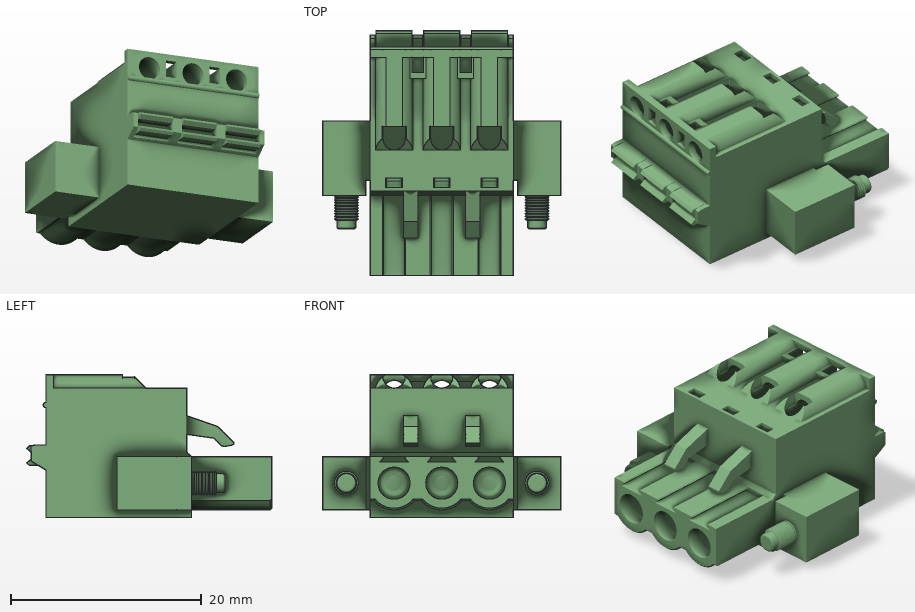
import cadquery as cq


pitch = 5.0
pole_count = 3
pole_positions = [(i - (pole_count - 1) / 2) * pitch for i in range(pole_count)]
gap_positions = [(i - (pole_count - 2) / 2) * pitch for i in range(pole_count - 1)]

body_width = pole_count * pitch
height = 15.0
deck_z = 13.6
rear_y = 15.3
rear_wall_y = 14.5
upper_front_y = 0.5
step_chamfer = 0.45
overlap = 0.5

axis_z = 3.62
plug_front_y = -8.4
plug_top_z = 6.4
plug_bottom_z = 1.78
shell_radius = 2.8
plug_edge_chamfer = 0.18
socket_radius = 1.68
cone_end_radius = 0.8
cone_depth = 0.25
socket_depth = 1.7
groove_top_half_width = 1.22
groove_neck_half_width = 1.1
groove_bottom_half_width = 1.5
groove_lip = 0.12
groove_depth = 0.57
overall_width = 25.0
flange_depth = 7.85
flange_bottom_z = axis_z - shell_radius
relief_width = 0.45
relief_depth = 1.6

screw_positions = [-2 * pitch, 2 * pitch]
thread_radius = 1.25
root_radius = 1.07
thread_pitch = 0.29
thread_count = 9
tip_radius = 1.0
tip_fillet = 0.25
screw_length = 3.5

ridge_radius = 2.0
ridge_axis_z = 13.2
ridge_front_y = 4.8
bore_radius = 1.2
entry_rear_y = 7.25
entry_radius = 1.15
entry_floor_z = 9.0
entry_slot_half_width = 1.28
entry_slot_floor_z = 13.4
entry_slot_front_y = 6.0

bridge_width = 2.0
bridge_front_y = 12.27
bridge_top_z = 14.3
bridge_pocket_width = 1.2
bridge_pocket_front_y = 12.9
bridge_pocket_floor_z = 12.5

window_half_width = 0.88
window_front_y = 0.83
window_rear_y = 1.87
window_depth = 1.0
gable_half_width = 0.78
gable_peak_y = 1.52
gable_peak_depth = 0.55
gable_edge_depth = 0.8

latch_positions = [-3.25, 3.25]
latch_width = 1.5
latch_root_top_z = 10.7
latch_root_bottom_z = 8.73
latch_top_bend = (-2.74, 9.57)
latch_bottom_bend = (-2.35, 8.33)
latch_hook_front = [(-4.46, 7.86), (-4.46, 7.73), (-4.15, 7.58)]
latch_hook_bottom = [(-3.43, 7.45), (-3.07, 7.57)]

ledge_rear_y = 16.85
ledge_top_z = 7.63
ledge_chamfer = 0.35
ledge_chamfer_drop = 0.14
ledge_lower_z = 5.95
ledge_foot_z = 5.0
tooth_half_width = 1.9
tooth_tip_y = 17.3
tooth_gap_width = 0.08
tooth_root_y = 15.65
upper_tooth_top_z = 7.55
upper_tooth_tip_z = 7.26
upper_tooth_bottom_z = 6.88
lower_tooth_top_z = 6.13
lower_tooth_tip_z = 5.75
lower_tooth_bottom_z = 5.49
tooth_bevel = 0.27
bead_radius = 0.28
bead_axis_z = 11.82


def box(x_range, y_range, z_range):
    """Axis-aligned block between the given limits."""
    (x0, x1), (y0, y1), (z0, z1) = x_range, y_range, z_range
    return cq.Workplane("XY").box(x1 - x0, y1 - y0, z1 - z0, centered=False).translate((x0, y0, z0))


def side_prism(points, half_width, x=0):
    """YZ outline extruded symmetrically about the plane at x."""
    return cq.Workplane("YZ").polyline(points).close().extrude(half_width, both=True).translate((x, 0, 0))


def cylinder_y(x, z, radius, y0, y1):
    """Cylinder along Y."""
    return cq.Workplane("XZ", origin=(x, y1, z)).circle(radius).extrude(y1 - y0)


def housing():
    """Main block: lower front step, deck and upright rear wall."""
    outline = [
        (0, 0),
        (rear_y, 0),
        (rear_y, height),
        (rear_wall_y, height),
        (rear_wall_y, deck_z),
        (upper_front_y, deck_z),
        (upper_front_y, plug_top_z + step_chamfer),
        (0, plug_top_z),
    ]
    return side_prism(outline, body_width / 2)


def plug():
    """Flat-topped plug with a round shell under each pole, its lower front edge chamfered."""
    outline = [
        (plug_front_y, plug_top_z),
        (overlap, plug_top_z),
        (overlap, plug_bottom_z),
        (plug_front_y + plug_edge_chamfer, plug_bottom_z),
        (plug_front_y, plug_bottom_z + plug_edge_chamfer),
    ]
    body = side_prism(outline, body_width / 2)
    for x in pole_positions:
        shell = cylinder_y(x, axis_z, shell_radius, plug_front_y, overlap)
        shell = shell.faces("<Y").chamfer(plug_edge_chamfer)
        lower_half = box(
            (-body_width / 2, body_width / 2), (plug_front_y, overlap), (0, axis_z)
        )
        body = body.union(shell.intersect(lower_half))
    return body


def plug_socket(x):
    """Round contact socket ending in a cone that narrows to a flat bottom."""
    cone_start_y = plug_front_y + socket_depth
    bottom_y = cone_start_y + cone_depth
    profile = [
        (plug_front_y, 0),
        (plug_front_y, -socket_radius),
        (cone_start_y, -socket_radius),
        (bottom_y, -cone_end_radius),
        (bottom_y, 0),
    ]
    socket = cq.Workplane("YZ").polyline(profile).close().revolve(360, (0, 0, 0), (1, 0, 0))
    return socket.translate((x, 0, axis_z))


def dovetail_groove(x):
    """Undercut groove along the plug top with a chamfered mouth."""
    bottom_z = plug_top_z - groove_depth
    outline = [
        (x - groove_top_half_width, plug_top_z),
        (x + groove_top_half_width, plug_top_z),
        (x + groove_neck_half_width, plug_top_z - groove_lip),
        (x + groove_bottom_half_width, bottom_z),
        (x - groove_bottom_half_width, bottom_z),
        (x - groove_neck_half_width, plug_top_z - groove_lip),
    ]
    return cq.Workplane("XZ").polyline(outline).close().extrude(-plug_front_y)


def flanges():
    """Side blocks for the screws, relieved next to the plug."""
    half_body = body_width / 2
    relief_x = half_body + relief_width
    block = box(
        (half_body - overlap, overall_width / 2), (0, flange_depth), (flange_bottom_z, plug_top_z)
    )
    relief = box((half_body, relief_x), (0, relief_depth), (flange_bottom_z, plug_top_z))
    right = block.cut(relief)
    return right.union(right.mirror("YZ"))


def screw(x):
    """Flange screw with ring-shaped thread crests and a rounded plain tip."""
    points = [(0, overlap), (root_radius, overlap), (root_radius, 0)]
    for i in range(thread_count):
        crest_y = -(i + 0.5) * thread_pitch
        points.append((thread_radius, crest_y))
        points.append((root_radius, crest_y - thread_pitch / 2))
    points += [(tip_radius, -thread_count * thread_pitch), (tip_radius, -screw_length), (0, -screw_length)]
    body = cq.Workplane("XY").polyline(points).close().revolve(360, (0, 0, 0), (0, 1, 0))
    return body.faces("<Y").edges().fillet(tip_fillet).translate((x, 0, axis_z))


def ridge(x):
    """Round-backed ridge with a flat top and a sloping front end."""
    rise = height - deck_z
    rear = rear_wall_y + overlap
    envelope = [
        (rear, deck_z - overlap),
        (ridge_front_y - overlap, deck_z - overlap),
        (ridge_front_y + rise, height),
        (rear, height),
    ]
    round_bar = cylinder_y(x, ridge_axis_z, ridge_radius, 0, rear)
    return round_bar.intersect(side_prism(envelope, ridge_radius, x))


def wire_entry(x):
    """Arched channel under the ridge, its rear bore and the upright opening at its front end."""
    center_y = ridge_front_y + entry_radius
    bore = cylinder_y(x, ridge_axis_z, bore_radius, center_y, rear_y)
    channel = box(
        (x - bore_radius, x + bore_radius), (center_y, rear_wall_y), (entry_floor_z, ridge_axis_z)
    )
    well = (
        cq.Workplane("XY", origin=(x, 0, entry_floor_z))
        .moveTo(-entry_radius, entry_rear_y)
        .lineTo(-entry_radius, center_y)
        .threePointArc((0, ridge_front_y), (entry_radius, center_y))
        .lineTo(entry_radius, entry_rear_y)
        .close()
        .extrude(height - entry_floor_z)
    )
    slot = box(
        (x - entry_slot_half_width, x + entry_slot_half_width),
        (entry_slot_front_y, entry_rear_y),
        (entry_slot_floor_z, height),
    )
    return bore.union(channel).union(well).union(slot)


def bridge(x):
    """Block joining two neighbouring ridges in front of the rear wall."""
    return box(
        (x - bridge_width / 2, x + bridge_width / 2),
        (bridge_front_y, rear_wall_y + overlap),
        (deck_z - overlap, bridge_top_z),
    )


def bridge_pocket(x):
    """Pocket sunk into a bridge and continuing out through the rear wall."""
    return box(
        (x - bridge_pocket_width / 2, x + bridge_pocket_width / 2),
        (bridge_pocket_front_y, rear_y),
        (bridge_pocket_floor_z, bridge_top_z),
    )


def test_window(x):
    """Deck opening with a gable left standing on its floor."""
    floor_z = deck_z - window_depth
    opening = box(
        (x - window_half_width, x + window_half_width),
        (window_front_y, window_rear_y),
        (floor_z, deck_z),
    )
    gable = side_prism(
        [
            (window_front_y, floor_z),
            (window_rear_y, floor_z),
            (window_rear_y, deck_z - gable_edge_depth),
            (gable_peak_y, deck_z - gable_peak_depth),
            (window_front_y, deck_z - gable_edge_depth),
        ],
        gable_half_width,
        x,
    )
    return opening.cut(gable)


def latch_arm(x):
    """Arm that leaves the housing front, bends down and ends in a hook."""
    root_y = upper_front_y + overlap
    outline = [
        (root_y, latch_root_top_z),
        (upper_front_y, latch_root_top_z),
        latch_top_bend,
        *latch_hook_front,
        *latch_hook_bottom,
        latch_bottom_bend,
        (upper_front_y, latch_root_bottom_z),
        (root_y, latch_root_bottom_z),
    ]
    return side_prism(outline, latch_width / 2, x)


def rear_ledge():
    """Full-width ledge on the rear wall with a sloping underside."""
    outline = [
        (rear_y - overlap, ledge_top_z),
        (ledge_rear_y - ledge_chamfer, ledge_top_z),
        (ledge_rear_y, ledge_top_z - ledge_chamfer_drop),
        (ledge_rear_y, ledge_lower_z),
        (rear_y, ledge_foot_z),
        (rear_y - overlap, ledge_foot_z),
    ]
    return side_prism(outline, body_width / 2)


def tooth_recess(x):
    """Notch through the ledge, slightly wider than the teeth that stand in it."""
    half_width = tooth_half_width + tooth_gap_width
    return box(
        (x - half_width, x + half_width),
        (tooth_root_y, ledge_rear_y),
        (ledge_foot_z, ledge_top_z),
    )


def rear_teeth(x):
    """Upper and lower tooth standing out behind the ledge."""
    bevel_y = tooth_tip_y - tooth_bevel
    upper = [
        (tooth_root_y, ledge_top_z),
        (bevel_y, upper_tooth_top_z),
        (tooth_tip_y, upper_tooth_tip_z),
        (ledge_rear_y, upper_tooth_bottom_z),
        (tooth_root_y, upper_tooth_bottom_z),
    ]
    lower = [
        (tooth_root_y, lower_tooth_top_z),
        (ledge_rear_y, lower_tooth_top_z),
        (tooth_tip_y, lower_tooth_tip_z),
        (bevel_y, lower_tooth_bottom_z),
        (tooth_root_y, lower_tooth_bottom_z),
    ]
    return side_prism(upper, tooth_half_width, x).union(side_prism(lower, tooth_half_width, x))


def rear_bead():
    """Half-round bead across the rear wall."""
    start = (-body_width / 2, rear_y, bead_axis_z)
    return cq.Workplane("YZ", origin=start).circle(bead_radius).extrude(body_width)


result = housing().union(plug()).union(flanges()).union(rear_ledge()).union(rear_bead())
for x in pole_positions:
    result = result.union(ridge(x))
for x in gap_positions:
    result = result.union(bridge(x)).cut(bridge_pocket(x))
for x in pole_positions:
    result = result.cut(wire_entry(x)).cut(test_window(x))
    result = result.cut(plug_socket(x)).cut(dovetail_groove(x))
    result = result.cut(tooth_recess(x)).union(rear_teeth(x))
for x in latch_positions:
    result = result.union(latch_arm(x))
for x in screw_positions:
    result = result.union(screw(x))